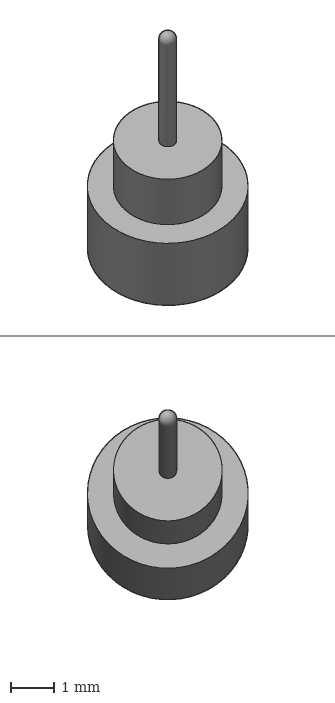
import cadquery as cq

total_height = 7.1

base_diameter = 3.7
base_height = 2.05
neck_diameter = 2.5
neck_height = 1.5

pin_diameter = 0.41
dome_height = 0.185

pin_radius = pin_diameter / 2
dome_start = total_height - dome_height
dome_radius = (pin_radius**2 + dome_height**2) / (2 * dome_height)


def make_body():
    """Wide base with a narrower neck on top, standing on Z = 0."""
    base = cq.Workplane("XY").circle(base_diameter / 2).extrude(base_height)
    return base.faces(">Z").workplane().circle(neck_diameter / 2).extrude(neck_height)


def make_pin():
    """Round pin rising from the neck, revolved with its domed tip."""
    dome_mid_x = pin_radius / 2
    dome_centre_z = total_height - dome_radius
    dome_mid_z = dome_centre_z + (dome_radius**2 - dome_mid_x**2) ** 0.5
    return (
        cq.Workplane("XZ")
        .moveTo(0, base_height)
        .lineTo(pin_radius, base_height)
        .lineTo(pin_radius, dome_start)
        .threePointArc((dome_mid_x, dome_mid_z), (0, total_height))
        .close()
        .revolve(360, (0, 0), (0, 1))
    )


result = make_body().union(make_pin())